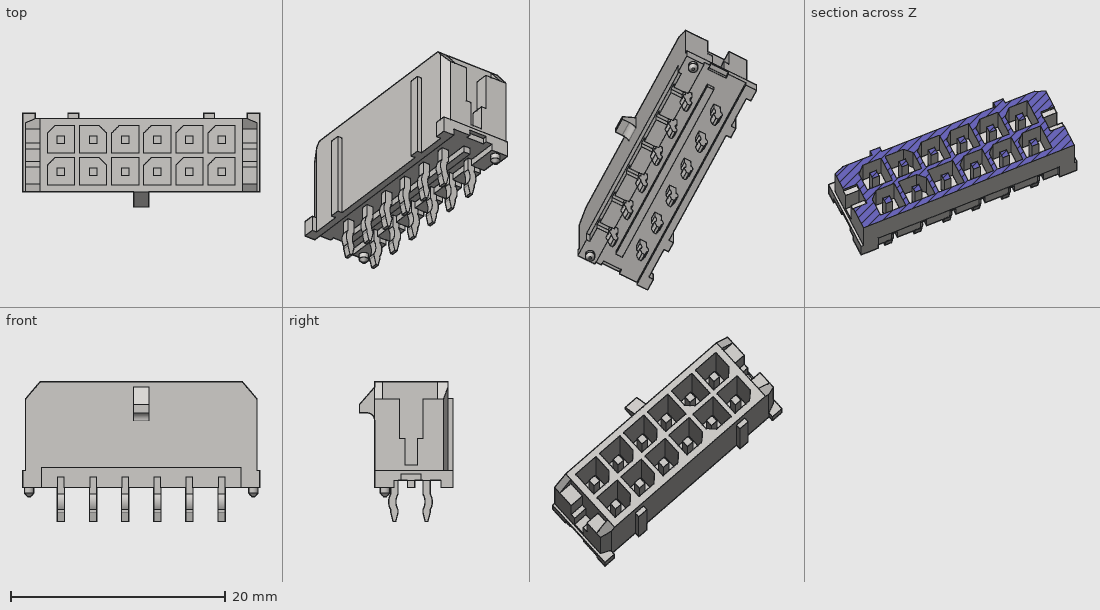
import cadquery as cq


columns = 6
pitch = 3.0
contact_size = 0.7
front_row_y = 1.86
contact_rows_y = (front_row_y, front_row_y + pitch)
contact_top_z = 7.5

tail_bottom_z = -3.19
bend_start_z = -0.6
bend_end_z = -2.07
taper_start_z = -2.33
bend_offset = 0.2
tail_tip_width = 0.26

body_width = 21.66
body_depth = 6.87
body_top_z = 9.9
shoulder_width = 18.88
shoulder_z = 8.26
rear_corner_width = 19.7
rear_corner_depth = 0.43

base_width = 22.15
base_depth = 7.35
base_top_z = 1.6
underside_z = 0.67
front_foot_depth = 1.81
rear_foot_depth = 1.15
rear_tab_width = 1.18
base_middle_y = 3.42
center_rib_depth = 0.69
end_notch_depth_y = 1.89
end_notch_depth_x = 0.45
end_notch_top_z = 1.26

relief_width = 18.6
relief_depth = 0.34
relief_top_z = 1.87
slot_width = 0.6
slot_top_z = 1.0

cavity_size = 2.54
cavity_floor_z = 2.12
cavity_chamfer = 0.7
front_cavity_y = 1.92
cavity_rows_y = (front_cavity_y, front_cavity_y + pitch)
cavity_keys = (
    ("left", "right", "", "left", "left", "left"),
    ("left", "right", "left", "left", "left", "left"),
)

end_channel_steps = (
    (0.74, 5.88, shoulder_z),
    (2.34, 4.55, 4.58),
    (2.83, 4.02, cavity_floor_z),
)

latch_width = 1.43
latch_reach = 1.42
latch_top_z = 9.38
latch_nose_top_z = 7.75
latch_nose_bottom_z = 6.97
latch_root_radius = 0.7

standoff_width = 1.03
standoff_x = 6.33
standoff_top_z = 8.33

peg_diameter = 0.9
peg_x = 10.47
peg_y = 0.98
peg_shoulder_z = -0.53
peg_tip_z = -0.88
peg_tip_diameter = 0.24


def block(x_range, y_range, z_range):
    """Axis-aligned box between the given limits."""
    size = [limits[1] - limits[0] for limits in (x_range, y_range, z_range)]
    corner = (x_range[0], y_range[0], z_range[0])
    return cq.Workplane("XY").box(*size, centered=False).translate(corner)


def centered_block(width, x, y_range, z_range):
    """Box of the given width centred on x."""
    return block((x - width / 2, x + width / 2), y_range, z_range)


def column_x(column):
    return (column - (columns - 1) / 2) * pitch


def make_shroud():
    plan = (
        cq.Workplane("XY")
        .moveTo(-body_width / 2, 0)
        .lineTo(body_width / 2, 0)
        .lineTo(body_width / 2, body_depth - rear_corner_depth)
        .lineTo(rear_corner_width / 2, body_depth)
        .lineTo(-rear_corner_width / 2, body_depth)
        .lineTo(-body_width / 2, body_depth - rear_corner_depth)
        .close()
        .extrude(body_top_z)
    )
    elevation = (
        cq.Workplane("XZ")
        .moveTo(-body_width / 2, 0)
        .lineTo(body_width / 2, 0)
        .lineTo(body_width / 2, shoulder_z)
        .lineTo(shoulder_width / 2, body_top_z)
        .lineTo(-shoulder_width / 2, body_top_z)
        .lineTo(-body_width / 2, shoulder_z)
        .close()
        .extrude(-body_depth)
    )
    return plan.intersect(elevation)


def add_base(body):
    body = body.union(centered_block(base_width, 0, (0, body_depth), (0, base_top_z)))
    for side in (-1, 1):
        tab_x = side * (base_width - rear_tab_width) / 2
        tab_y = (body_depth - rear_corner_depth, base_depth)
        body = body.union(centered_block(rear_tab_width, tab_x, tab_y, (0, base_top_z)))
    return body


def cut_underside(body):
    channel_y = (front_foot_depth, base_depth - rear_foot_depth)
    body = body.cut(centered_block(base_width, 0, channel_y, (0, underside_z)))
    rib_y = (base_middle_y - center_rib_depth / 2, base_middle_y + center_rib_depth / 2)
    body = body.union(centered_block(relief_width, 0, rib_y, (0, underside_z)))
    notch_y = (base_middle_y - end_notch_depth_y / 2, base_middle_y + end_notch_depth_y / 2)
    for side in (-1, 1):
        notch_x = side * (base_width - end_notch_depth_x) / 2
        notch = centered_block(end_notch_depth_x, notch_x, notch_y, (0, end_notch_top_z))
        body = body.cut(notch)
    return body


def cut_front_relief(body):
    body = body.cut(centered_block(relief_width, 0, (0, relief_depth), (0, relief_top_z)))
    for column in range(columns):
        slot_y = (0, front_foot_depth)
        body = body.cut(centered_block(slot_width, column_x(column), slot_y, (0, slot_top_z)))
    return body


def make_cavity(x, y, key):
    half = cavity_size / 2
    cavity = centered_block(cavity_size, x, (y - half, y + half), (cavity_floor_z, body_top_z))
    if key == "left":
        cavity = cavity.edges("|Z and <X and >Y").chamfer(cavity_chamfer)
    elif key == "right":
        cavity = cavity.edges("|Z and >X and >Y").chamfer(cavity_chamfer)
    return cavity


def cut_cavities(body):
    for y, row_keys in zip(cavity_rows_y, cavity_keys):
        for column, key in enumerate(row_keys):
            body = body.cut(make_cavity(column_x(column), y, key))
    return body


def cut_end_channels(body):
    channel_depth = (body_width - shoulder_width) / 2
    for side in (-1, 1):
        channel_x = side * (body_width - channel_depth) / 2
        for first_y, last_y, floor_z in end_channel_steps:
            channel_z = (floor_z, body_top_z)
            body = body.cut(centered_block(channel_depth, channel_x, (first_y, last_y), channel_z))
    return body


def make_latch():
    root_bottom_z = latch_nose_bottom_z - latch_root_radius
    arc_rise = latch_root_radius * 0.5 ** 0.5
    return (
        cq.Workplane("YZ")
        .moveTo(0, latch_top_z)
        .lineTo(-latch_reach, latch_nose_top_z)
        .lineTo(-latch_reach, latch_nose_bottom_z)
        .lineTo(-latch_root_radius, latch_nose_bottom_z)
        .threePointArc((arc_rise - latch_root_radius, root_bottom_z + arc_rise), (0, root_bottom_z))
        .lineTo(relief_depth, root_bottom_z)
        .lineTo(relief_depth, latch_top_z)
        .close()
        .extrude(latch_width / 2, both=True)
    )


def make_standoff(x):
    return centered_block(standoff_width, x, (body_depth, base_depth), (0, standoff_top_z))


def make_peg(x):
    peg_radius = peg_diameter / 2
    tip_radius = peg_tip_diameter / 2
    return (
        cq.Workplane("XZ")
        .lineTo(peg_radius, 0)
        .lineTo(peg_radius, peg_shoulder_z)
        .lineTo(tip_radius, peg_tip_z)
        .lineTo(0, peg_tip_z)
        .close()
        .revolve(360, (0, 0), (0, 1))
        .translate((x, peg_y, 0))
    )


def make_contact(x, y, outward):
    """Square pin whose tail bows in the outward (+1 or -1) Y direction."""
    half = contact_size / 2
    tip_half = tail_tip_width / 2
    bow = outward * bend_offset
    bend_middle_z = (bend_start_z + bend_end_z) / 2
    return (
        cq.Workplane("YZ")
        .moveTo(-half, contact_top_z)
        .lineTo(-half, bend_start_z)
        .threePointArc((-half + bow, bend_middle_z), (-half, bend_end_z))
        .lineTo(-half, taper_start_z)
        .lineTo(-tip_half, tail_bottom_z)
        .lineTo(tip_half, tail_bottom_z)
        .lineTo(half, taper_start_z)
        .lineTo(half, bend_end_z)
        .threePointArc((half + bow, bend_middle_z), (half, bend_start_z))
        .lineTo(half, contact_top_z)
        .close()
        .extrude(contact_size / 2, both=True)
        .translate((x, y, 0))
    )


def add_contacts(body):
    for y, outward in zip(contact_rows_y, (-1, 1)):
        for column in range(columns):
            body = body.union(make_contact(column_x(column), y, outward))
    return body


housing = add_base(make_shroud())
housing = cut_underside(housing)
housing = cut_front_relief(housing)
housing = cut_cavities(housing)
housing = cut_end_channels(housing)
housing = housing.union(make_latch())
for mirror_side in (-1, 1):
    housing = housing.union(make_standoff(mirror_side * standoff_x))
    housing = housing.union(make_peg(mirror_side * peg_x))

result = add_contacts(housing)